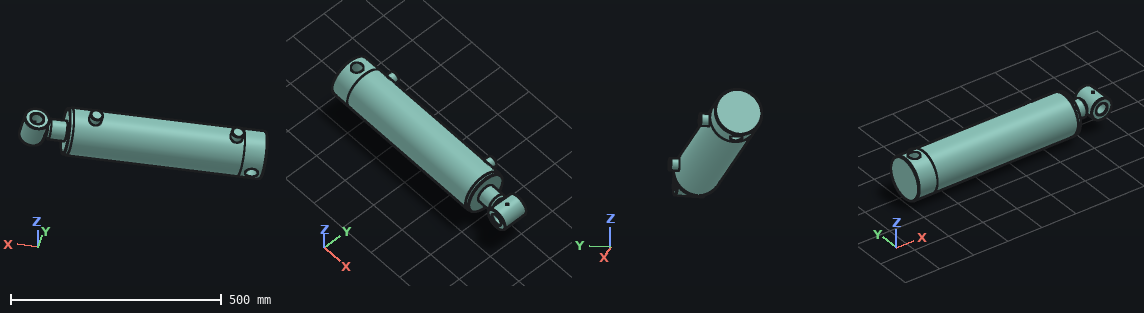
import cadquery as cq

OVERALL_LENGTH = 583.0

BARREL_DIAMETER = 115.0
BARREL_RADIUS = BARREL_DIAMETER / 2
BARREL_END_X = 468.0

BASE_LENGTH = 55.0
BASE_CHAMFER = 2.5
PIN_HOLE_DIAMETER = 30.5
PIN_HOLE_X = BASE_LENGTH / 2

GLAND_DIAMETER = 111.5
GLAND_LENGTH = 10.0
GLAND_CHAMFER = 2.0
GLAND_END_X = BARREL_END_X + GLAND_LENGTH

EYE_DIAMETER = 60.0
EYE_WIDTH = 70.0
EYE_CHAMFER = 1.45
EYE_X = OVERALL_LENGTH - EYE_DIAMETER / 2
GREASE_HOLE_DIAMETER = 5.0

ROD_DIAMETER = 49.5
ROD_CHAMFER = 6.5
ROD_LENGTH = OVERALL_LENGTH - EYE_DIAMETER - GLAND_END_X

PORT_DIAMETER = 30.0
PORT_CHAMFER = 1.0
PORT_HEIGHT = 20.5
PORT_TOP_Y = BARREL_RADIUS + PORT_HEIGHT
PORT_XS = (75.0, 417.5)


def cylinder_along_x(start_x, length, diameter):
    return cq.Workplane("YZ", origin=(start_x, 0, 0)).circle(diameter / 2).extrude(length)


def cylinder_along_y(x, start_y, length, diameter):
    return cq.Workplane("XZ", origin=(x, start_y, 0)).circle(diameter / 2).extrude(-length)


def make_base_cap():
    cap = cylinder_along_x(0, BASE_LENGTH, BARREL_DIAMETER)
    cap = cap.faces("<X").chamfer(BASE_CHAMFER)
    pin_hole = (
        cq.Workplane("XY", origin=(PIN_HOLE_X, 0, 0))
        .circle(PIN_HOLE_DIAMETER / 2)
        .extrude(BARREL_RADIUS, both=True)
    )
    return cap.cut(pin_hole)


def make_barrel():
    return cylinder_along_x(BASE_LENGTH, BARREL_END_X - BASE_LENGTH, BARREL_DIAMETER)


def make_gland():
    gland = cylinder_along_x(BARREL_END_X, GLAND_LENGTH, GLAND_DIAMETER)
    return gland.faces(">X").chamfer(GLAND_CHAMFER)


def make_rod():
    rod = cylinder_along_x(GLAND_END_X, ROD_LENGTH, ROD_DIAMETER)
    return rod.faces(">X").chamfer(ROD_CHAMFER)


def make_rod_eye():
    eye = cylinder_along_y(EYE_X, -EYE_WIDTH / 2, EYE_WIDTH, EYE_DIAMETER)
    bore = cylinder_along_y(EYE_X, -EYE_WIDTH / 2, EYE_WIDTH, PIN_HOLE_DIAMETER)
    eye = eye.cut(bore).faces("<Y or >Y").chamfer(EYE_CHAMFER)
    grease_hole = (
        cq.Workplane("XY", origin=(EYE_X, 0, 0))
        .circle(GREASE_HOLE_DIAMETER / 2)
        .extrude(EYE_DIAMETER / 2)
    )
    return eye.cut(grease_hole)


def make_port(x, barrel):
    port = cylinder_along_y(x, 0, PORT_TOP_Y, PORT_DIAMETER)
    port = port.faces(">Y").chamfer(PORT_CHAMFER)
    return port.cut(barrel)


base_cap = make_base_cap()
barrel = make_barrel()
gland = make_gland()
rod = make_rod()
rod_eye = make_rod_eye()
ports = [make_port(x, barrel) for x in PORT_XS]

result = cq.Compound.makeCompound(
    [
        base_cap.val(),
        barrel.val(),
        gland.val(),
        rod.val(),
        rod_eye.val(),
        *[port.val() for port in ports],
    ]
)